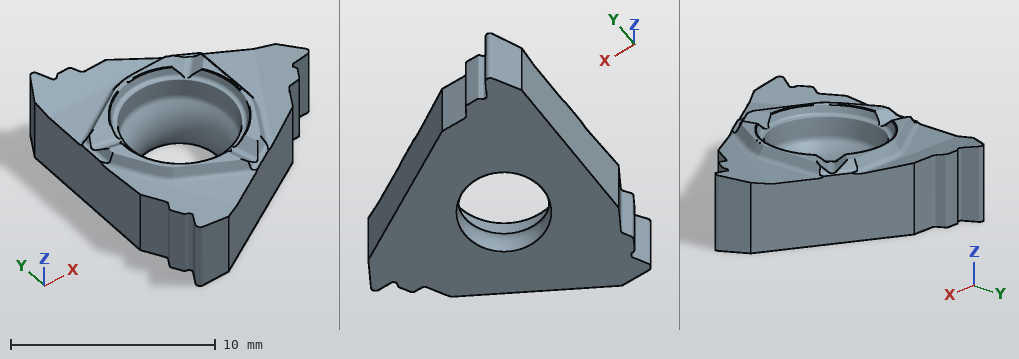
import cadquery as cq
import math

corner_count = 3
corner_step = 360 / corner_count

inscribed_diameter = 9.525
boss_top_z = 4.1
land_z = 3.515

tooth_flank_angle = 60
long_flank_distance = 6.825
short_flank_distance = 0.31
tip_radius = 0.235
notch_y = 6.015
notch_width = 0.19
notch_radius = 0.09
crest_y = 6.19
crest_start_x = -2.75
crest_end_x = -1.97
crest_radius = 0.22
root_y = 5.61
root_radius = 0.22

rake_start = 4.31
rake_angle = 10
rake_blend_radius = 0.45

boss_rim_radius = 0.05
boss_wall_angle = 30
boss_blend_radius = 0.33
boss_front_offset = 3.706
boss_back_offset = 3.59
boss_edge_offset = 4.22
boss_front_direction = 90
boss_back_direction = 121.2
boss_edge_direction = 180
edge_shelf_z = 3.6
edge_blend_radius = 0.2

groove_direction = 166
groove_depth = 0.48
groove_wall_angle = 38
groove_blend_radius = 0.3
groove_floor_half_width = 0.035

throat_radius = 2.2
bore_top_radius = 3.04
bore_radius = 3.0
lip_radius = 0.04
ledge_depth = groove_depth
recess_radius = 3.44
recess_wall_angle = 20
recess_blend_radius = 0.21
bore_bottom_z = 2.66
seat_angle = 45
seat_top_radius = 2.86

reach = 20

roof_z = boss_top_z + 1
boss_height = boss_top_z - land_z
side_distance = inscribed_diameter / 2


def sin(angle):
    return math.sin(math.radians(angle))


def cos(angle):
    return math.cos(math.radians(angle))


def tan(angle):
    return math.tan(math.radians(angle))


def rotate(solid, angle):
    return solid.rotate((0, 0, 0), (0, 0, 1), angle)


def meet(direction_a, distance_a, direction_b, distance_b):
    """Point where two lines meet, each given by its normal direction and distance from the axis."""
    span = sin(direction_b - direction_a)
    x = (distance_a * sin(direction_b) - distance_b * sin(direction_a)) / span
    y = (distance_b * cos(direction_a) - distance_a * cos(direction_b)) / span
    return x, y


def rounded_polygon(corners, plane="XY"):
    """Closed wire through (point, radius) corners; a radius of 0 leaves the corner sharp."""
    pieces = []
    for i, (point, radius) in enumerate(corners):
        here = cq.Vector(*point)
        back = (cq.Vector(*corners[i - 1][0]) - here).normalized()
        ahead = (cq.Vector(*corners[(i + 1) % len(corners)][0]) - here).normalized()
        half_angle = back.getAngle(ahead) / 2
        trim = radius / math.tan(half_angle)
        to_arc = radius / math.sin(half_angle) - radius
        middle = here + (back + ahead).normalized() * to_arc
        pieces.append((here + back * trim, middle, here + ahead * trim, radius))

    wire = cq.Workplane(plane).moveTo(*pieces[0][2].toTuple()[:2])
    for start, middle, end, radius in pieces[1:] + pieces[:1]:
        wire = wire.lineTo(start.x, start.y)
        if radius > 0:
            wire = wire.threePointArc((middle.x, middle.y), (end.x, end.y))
    return wire.close()


def tooth_corners():
    """Corners of one third of the outline, clockwise from the left insert side."""
    long_flank_normal = 90 + tooth_flank_angle
    short_flank_normal = 90 - tooth_flank_angle
    side_top = meet(180, side_distance, long_flank_normal, long_flank_distance)
    tip = meet(short_flank_normal, short_flank_distance, long_flank_normal, long_flank_distance)
    notch_start = meet(short_flank_normal, short_flank_distance, 90, notch_y)
    notch_end = (notch_start[0] + notch_width, notch_y)
    root_x = crest_end_x + (crest_y - root_y) / tan(tooth_flank_angle)
    next_side = meet(180 - corner_step, side_distance, 90, root_y)
    return [
        (side_top, 0),
        (tip, tip_radius),
        (notch_start, notch_radius),
        (notch_end, notch_radius),
        ((crest_start_x, crest_y), notch_radius),
        ((crest_end_x, crest_y), crest_radius),
        ((root_x, root_y), root_radius),
        (next_side, 0),
    ]


def insert_outline():
    corners = []
    for i in range(corner_count):
        turn = -i * corner_step
        for (x, y), radius in tooth_corners():
            turned = (x * cos(turn) - y * sin(turn), x * sin(turn) + y * cos(turn))
            corners.append((turned, radius))
    return rounded_polygon(corners)


def rake_wedge():
    """Sloped chip face of the +Y corner, blended into the flat land."""
    wedge_start = rake_start - 2 * rake_blend_radius * tan(rake_angle / 2)
    wedge_end = reach / 2
    wedge_end_z = land_z + (wedge_end - rake_start) * tan(rake_angle)
    section = rounded_polygon(
        [
            ((wedge_start, 0), 0),
            ((wedge_start, land_z), 0),
            ((rake_start, land_z), rake_blend_radius),
            ((wedge_end, wedge_end_z), 0),
            ((wedge_end, 0), 0),
        ],
        "YZ",
    )
    return section.extrude(reach / 2, both=True)


def boss_wall_waste(top_offset, foot_z, blend_radius):
    """Section outside one boss wall: rounded rim, slanted wall, blend to the level foot_z."""
    foot = top_offset + (boss_top_z - foot_z) * tan(boss_wall_angle)
    inner = top_offset - 2 * boss_rim_radius
    outer = reach / 2
    return rounded_polygon(
        [
            ((inner, roof_z), 0),
            ((inner, boss_top_z), 0),
            ((top_offset, boss_top_z), boss_rim_radius),
            ((foot, foot_z), blend_radius),
            ((outer, foot_z), 0),
            ((outer, roof_z), 0),
        ],
        "XZ",
    )


def straight_waste(top_offset, direction, foot_z=land_z, blend_radius=boss_blend_radius):
    section = boss_wall_waste(top_offset, foot_z, blend_radius)
    return rotate(section.extrude(reach / 2, both=True), direction)


def corner_waste():
    """Waste around the conical corner between the front and the slanted wall."""
    section = boss_wall_waste(boss_front_offset, land_z, boss_blend_radius)
    sweep = boss_back_direction - boss_front_direction
    return rotate(section.revolve(sweep, (0, 0, 0), (0, 1, 0)), boss_front_direction)


def make_boss():
    wastes = [
        straight_waste(boss_front_offset, boss_front_direction),
        straight_waste(boss_back_offset, boss_back_direction),
        straight_waste(boss_edge_offset, boss_edge_direction, edge_shelf_z, edge_blend_radius),
        corner_waste(),
    ]
    boss = insert_outline().extrude(boss_height).translate((0, 0, land_z))
    for i in range(corner_count):
        for waste in wastes:
            boss = boss.cut(rotate(waste, i * corner_step))
    return boss


def groove():
    """V groove running outwards from the axis, its walls blended into a narrow flat floor."""
    floor_z = boss_top_z - groove_depth
    foot = groove_floor_half_width + groove_blend_radius * tan(groove_wall_angle / 2)
    half_width = foot + groove_depth / tan(groove_wall_angle)
    outer = half_width + 2 * boss_rim_radius
    right_half = [
        ((foot, floor_z), groove_blend_radius),
        ((half_width, boss_top_z), boss_rim_radius),
        ((outer, boss_top_z), 0),
        ((outer, roof_z), 0),
    ]
    left_half = [((-y, z), radius) for (y, z), radius in reversed(right_half)]
    return rotate(rounded_polygon(right_half + left_half, "YZ").extrude(reach / 2), groove_direction)


def seat_hole():
    """Rounded seat, narrowest at the throat, and its blend into the bore."""
    seat_turn = 1 - cos(seat_angle)
    seat_radius = (seat_top_radius - throat_radius) / seat_turn
    blend_radius = (bore_radius - seat_top_radius) / seat_turn
    seat_top_z = bore_bottom_z - blend_radius * sin(seat_angle)
    throat_z = seat_top_z - seat_radius * sin(seat_angle)
    bottom_radius = throat_radius + seat_radius - math.sqrt(seat_radius**2 - throat_z**2)
    half_turn = seat_angle / 2
    blend_middle = (
        bore_radius - blend_radius * (1 - cos(half_turn)),
        bore_bottom_z - blend_radius * sin(half_turn),
    )
    return (
        cq.Workplane("XZ")
        .lineTo(bottom_radius, 0)
        .threePointArc((throat_radius, throat_z), (seat_top_radius, seat_top_z))
        .threePointArc(blend_middle, (bore_radius, bore_bottom_z))
        .lineTo(0, bore_bottom_z)
        .close()
        .revolve(360, (0, 0, 0), (0, 1, 0))
    )


def bore_and_recess():
    """Tapered bore with a rounded lip, opening into a wider recess in the boss."""
    ledge_z = boss_top_z - ledge_depth
    recess_foot = recess_radius - ledge_depth * tan(recess_wall_angle)
    outer = recess_radius + 2 * boss_rim_radius
    section = rounded_polygon(
        [
            ((0, bore_bottom_z), 0),
            ((bore_radius, bore_bottom_z), 0),
            ((bore_top_radius, ledge_z), lip_radius),
            ((recess_foot, ledge_z), recess_blend_radius),
            ((recess_radius, boss_top_z), boss_rim_radius),
            ((outer, boss_top_z), 0),
            ((outer, roof_z), 0),
            ((0, roof_z), 0),
        ],
        "XZ",
    )
    return section.revolve(360, (0, 0, 0), (0, 1, 0))


blank = insert_outline().extrude(boss_top_z)
body = insert_outline().extrude(land_z)
for i in range(corner_count):
    body = body.union(rotate(rake_wedge(), i * corner_step).intersect(blank))

result = body.union(make_boss())
for i in range(corner_count):
    result = result.cut(rotate(groove(), i * corner_step))
result = result.cut(seat_hole()).cut(bore_and_recess())